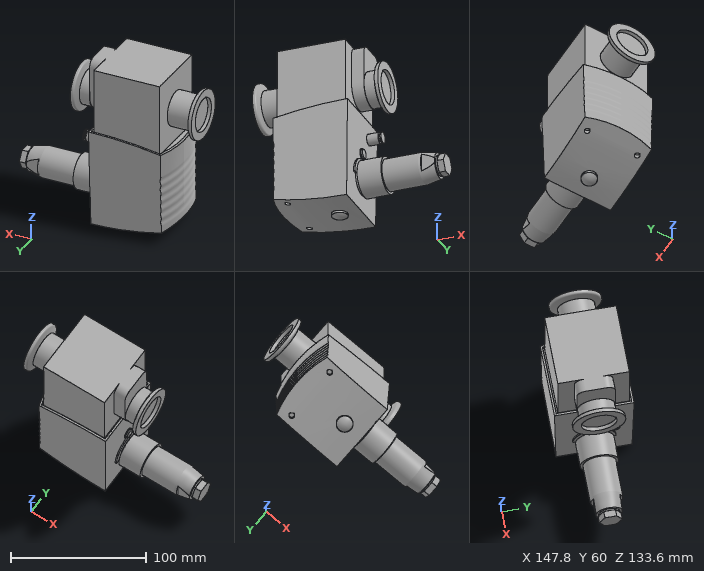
import cadquery as cq
import math


flange_span = 100.0
flange_radius = 20.0
flange_depth = 4.6
flange_cone_angle = 15.0
flange_edge_fillet = 1.3
pipe_radius = 14.0
bore_radius = 13.3
bore_depth = 3.0
block_start = 22.8
block_length = 54.2
block_width = 54.0
block_top = 31.8
boss_length = 9.8
boss_radius = 14.5
boss_top_fillet = 7.0

block_end = block_start + block_length
flange_cone_depth = (flange_radius - pipe_radius) * math.tan(math.radians(flange_cone_angle))

housing_front = 15.7
rim_top = -19.7
base_bottom = -98.4
rear_top = 80.0
rear_bottom = 78.8
half_width_top = 30.0
half_width_bottom = 28.7
front_radius = 94.7
rim_arc_radius = 353.1
base_arc_radius = 248.2

front_axis_x = housing_front + front_radius

wave_top = -43.5
wave_band_height = 42.3
wave_count = 6
wave_depth = 0.6
wave_pitch = wave_band_height / wave_count

recess_depth = 2.4
recess_clearance = 1.3
front_wall = 1.8

base_hole_x = 28.8
base_hole_y = 21.5
base_hole_diameter = 4.1
base_hole_top = -90.1

connector_z = -73.1
neck_radius = 12.1
collar_start = 81.3
collar_end = 100.3
collar_radius = 14.5
sleeve_end = 129.3
sleeve_radius = 12.4
cone_end = 141.2
cone_end_radius = 10.0
wrench_flat_start = 130.9
wrench_flat_spacing = 19.8
hex_neck_radius = 8.0
hex_start = 142.6
hex_end = 147.8
hex_across_flats = 15.2
seat_radius = 16.3
seat_face = 80.4

air_port_y = 12.7
air_port_z = -34.0
air_port_radius = 4.5
air_port_groove_radius = 3.0
air_port_groove_start = 88.6
air_port_groove_end = 90.1
air_port_end = 91.2

lamp_z = -51.7
lamp_base_radius = 4.3
lamp_base_face = 80.1
lamp_radius = 3.5
lamp_rim_face = 81.3
lamp_dome_height = 0.6

screw_x = 61.8
screw_radius = 6.2
screw_rim_bottom = -99.6
screw_dome_height = 2.2

embed = 7.4
margin = 7.4


def x_cylinder(start, end, radius, y=0.0, z=0.0):
    """Cylinder along X from start to end."""
    return cq.Workplane("YZ", origin=(start, y, z)).circle(radius).extrude(end - start)


def dome(radius, height):
    """Spherical cap standing on the XY plane, with its crown at +Z."""
    sphere_radius = (radius**2 + height**2) / (2 * height)
    ball = cq.Workplane("XY").sphere(sphere_radius).translate((0, 0, height - sphere_radius))
    return ball.intersect(cq.Workplane("XY").circle(radius).extrude(height))


def clamp_flange():
    """Clamp flange with its face at X = 0 and a conical back towards +X."""
    rim_depth = flange_depth - flange_cone_depth
    profile = (
        cq.Workplane("XY")
        .moveTo(0, 0)
        .lineTo(0, flange_radius)
        .lineTo(rim_depth, flange_radius)
        .lineTo(flange_depth, pipe_radius)
        .lineTo(flange_depth, 0)
        .close()
    )
    flange = profile.revolve(360, (0, 0, 0), (1, 0, 0))
    reach = flange_radius + margin
    around = flange_edge_fillet
    rim_corner = cq.selectors.BoxSelector(
        (rim_depth - around, -reach, -reach),
        (rim_depth + around, reach, reach),
        boundingbox=True,
    )
    return flange.edges(rim_corner).fillet(flange_edge_fillet)


def outlet_boss():
    """Boss with a half-round bottom and rounded upper corners."""
    top_flat = boss_radius - boss_top_fillet
    shoulder = block_top - boss_top_fillet
    corner = boss_top_fillet * math.sqrt(0.5)
    outline = (
        cq.Workplane("YZ", origin=(block_end, 0, 0))
        .moveTo(-boss_radius, 0)
        .lineTo(-boss_radius, shoulder)
        .threePointArc((-top_flat - corner, shoulder + corner), (-top_flat, block_top))
        .lineTo(top_flat, block_top)
        .threePointArc((top_flat + corner, shoulder + corner), (boss_radius, shoulder))
        .lineTo(boss_radius, 0)
        .threePointArc((0, -boss_radius), (-boss_radius, 0))
        .close()
    )
    return outline.extrude(boss_length)


def side_profile(top_offset):
    """Solid between the curved base and the curved rim lowered by top_offset, trimmed at the rear."""
    half_span = max(half_width_top, half_width_bottom) + margin
    draft = (rear_top - rear_bottom) / (rim_top - base_bottom)
    top = rim_top - top_offset
    top_x = rear_top - draft * top_offset
    front = housing_front - margin
    rim_radius = rim_arc_radius - top_offset

    top_drop = rim_radius - math.sqrt(rim_radius**2 - (top_x - front) ** 2)
    base_rise = base_arc_radius - math.sqrt(base_arc_radius**2 - (rear_bottom - front) ** 2)
    outline = (
        cq.Workplane("XZ", origin=(0, half_span, 0))
        .moveTo(rear_bottom, base_bottom)
        .lineTo(top_x, top)
        .radiusArc((front, top - top_drop), -rim_radius)
        .lineTo(front, base_bottom + base_rise)
        .radiusArc((rear_bottom, base_bottom), -base_arc_radius)
        .close()
    )
    return outline.extrude(2 * half_span)


def drafted_sides():
    """Prism along X whose two side walls lean inwards towards the bottom."""
    draft = (half_width_top - half_width_bottom) / (rim_top - base_bottom)
    low = half_width_bottom - draft * margin
    high = half_width_top
    outline = cq.Workplane("YZ").polyline(
        [
            (-low, base_bottom - margin),
            (low, base_bottom - margin),
            (high, rim_top),
            (-high, rim_top),
        ]
    ).close()
    return outline.extrude(rear_top + margin)


def wavy_front():
    """Round solid whose outside is the curved front face with its band of waves."""
    step = wave_pitch / 4
    half_depth = wave_depth / 2
    arc_radius = (step**2 + half_depth**2) / (2 * half_depth)
    quarters = [(half_depth, 1), (wave_depth, -1), (half_depth, -1), (0, 1)]

    outline = (
        cq.Workplane("XZ", origin=(front_axis_x, 0, 0))
        .moveTo(0, rim_top + margin)
        .lineTo(-front_radius, rim_top + margin)
        .lineTo(-front_radius, wave_top)
    )
    z = wave_top
    for _ in range(wave_count):
        for depth, bend in quarters:
            z -= step
            outline = outline.radiusArc((depth - front_radius, z), -bend * arc_radius)
    outline = (
        outline.lineTo(-front_radius, base_bottom - margin)
        .lineTo(0, base_bottom - margin)
        .close()
    )
    return outline.revolve(360, (0, 0, 0), (0, 1, 0))


def recess():
    """Space above the recess floor, inside the front, side and rear walls."""
    rear = block_end + recess_clearance
    half_width = block_width / 2 + recess_clearance
    height = rim_top + margin - base_bottom
    plan = (
        cq.Workplane("XY", origin=(0, 0, base_bottom))
        .rect(2 * rear, 2 * half_width)
        .extrude(height)
    )
    front_limit = (
        cq.Workplane("XY", origin=(front_axis_x, 0, base_bottom))
        .circle(front_radius - front_wall)
        .extrude(height)
    )
    return plan.intersect(front_limit).cut(side_profile(recess_depth))


def base_holes():
    """Vertical cutters for the two blind holes, open at the bottom."""
    return (
        cq.Workplane("XY", origin=(base_hole_x, 0, base_bottom))
        .pushPoints([(0, -base_hole_y), (0, base_hole_y)])
        .circle(base_hole_diameter / 2)
        .extrude(base_hole_top - base_bottom)
    )


def connector():
    """Cable connector: neck, collar, sleeve, cone with two wrench flats, and hexagon."""
    neck = x_cylinder(rear_bottom - embed, collar_start, neck_radius)
    collar = x_cylinder(collar_start, collar_end, collar_radius)
    sleeve = x_cylinder(collar_end, sleeve_end, sleeve_radius)
    cone = (
        cq.Workplane("XY")
        .moveTo(sleeve_end, 0)
        .lineTo(sleeve_end, sleeve_radius)
        .lineTo(cone_end, cone_end_radius)
        .lineTo(cone_end, 0)
        .close()
        .revolve(360, (0, 0, 0), (1, 0, 0))
    )
    flat_cutter = (
        cq.Workplane("XY", origin=((wrench_flat_start + cone_end) / 2, 0, 0))
        .box(cone_end - wrench_flat_start, margin, 2 * sleeve_radius)
    )
    for side in (-1, 1):
        cone = cone.cut(flat_cutter.translate((0, side * (wrench_flat_spacing + margin) / 2, 0)))
    hex_neck = x_cylinder(cone_end, hex_start, hex_neck_radius)
    hexagon = (
        cq.Workplane("YZ", origin=(hex_start, 0, 0))
        .polygon(6, hex_across_flats / math.cos(math.pi / 6))
        .extrude(hex_end - hex_start)
    )
    seat = x_cylinder(rear_bottom - embed, seat_face, seat_radius).intersect(
        cq.Workplane("XY").box(2 * hex_end, 2 * seat_radius, seat_radius, centered=(True, True, False))
    )
    body = neck.union(collar).union(sleeve).union(cone).union(hex_neck).union(hexagon).union(seat)
    return body.translate((0, 0, connector_z))


def air_port():
    """Plain spigot with a groove near its end."""
    spigot = x_cylinder(rear_bottom - embed, air_port_groove_start, air_port_radius)
    groove_core = x_cylinder(air_port_groove_start, air_port_groove_end, air_port_groove_radius)
    end_disc = x_cylinder(air_port_groove_end, air_port_end, air_port_radius)
    return spigot.union(groove_core).union(end_disc).translate((0, air_port_y, air_port_z))


def lamp():
    """Small indicator lamp with a base ring and a domed face."""
    base = x_cylinder(rear_bottom - embed, lamp_base_face, lamp_base_radius)
    rim = x_cylinder(lamp_base_face, lamp_rim_face, lamp_radius)
    cap = dome(lamp_radius, lamp_dome_height).rotate((0, 0, 0), (0, 1, 0), 90)
    return base.union(rim).union(cap.translate((lamp_rim_face, 0, 0))).translate((0, 0, lamp_z))


def screw_head():
    """Domed screw head under the base."""
    rim = (
        cq.Workplane("XY", origin=(screw_x, 0, screw_rim_bottom))
        .circle(screw_radius)
        .extrude(embed)
    )
    cap = dome(screw_radius, screw_dome_height).rotate((0, 0, 0), (1, 0, 0), 180)
    return rim.union(cap.translate((screw_x, 0, screw_rim_bottom)))


def make_valve():
    """Block, inlet and outlet pipes with clamp flanges, and the outlet boss."""
    below_floor = rim_top - recess_depth - block_length / 2
    block = (
        cq.Workplane("XY", origin=(block_start + block_length / 2, 0, below_floor))
        .rect(block_length, block_width)
        .extrude(block_top - below_floor)
        .cut(side_profile(recess_depth))
    )
    inlet_flange = clamp_flange()
    outlet_flange = inlet_flange.mirror("YZ").translate((flange_span, 0, 0))
    pipe = x_cylinder(flange_depth, flange_span - flange_depth, pipe_radius)
    valve = block.union(outlet_boss()).union(pipe).union(inlet_flange).union(outlet_flange)
    for bore_start in (0, flange_span - bore_depth):
        valve = valve.cut(x_cylinder(bore_start, bore_start + bore_depth, bore_radius))
    return valve


def make_actuator():
    """Housing with its recess and base holes, connector, air port, lamp and bottom screw."""
    shell = side_profile(0).intersect(drafted_sides()).intersect(wavy_front())
    housing = shell.cut(recess()).cut(base_holes())
    return housing.union(connector()).union(air_port()).union(lamp()).union(screw_head())


valve_body = make_valve()
actuator = make_actuator()

result = cq.Compound.makeCompound([valve_body.val(), actuator.val()])